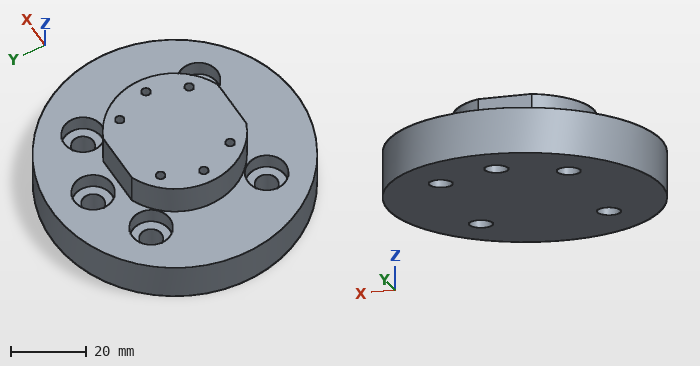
import cadquery as cq
import math

flange_diameter = 75.0
total_height = 22.5
boss_height = 10.0
flange_height = total_height - boss_height

boss_diameter = 38.0
boss_across_flats = 35.0

mount_circle_radius = 25.0
mount_angles = (45, 90, 135, 225, 315)
mount_hole_diameter = 6.4
counterbore_diameter = 11.5
counterbore_depth = 5.0

pin_circle_radius = 15.0
pin_angles = (0, 45, 135, 180, 225, 315)
pin_hole_diameter = 2.5
pin_hole_depth = boss_height


def polar_points(radius, angles):
    """Points on a circle about the Z axis, at the given angles in degrees."""
    return [
        (radius * math.cos(math.radians(angle)), radius * math.sin(math.radians(angle)))
        for angle in angles
    ]


def make_flange():
    return cq.Workplane("XY").circle(flange_diameter / 2).extrude(flange_height)


def make_boss():
    base = cq.Workplane("XY").workplane(offset=flange_height)
    cylinder = base.circle(boss_diameter / 2).extrude(boss_height)
    flats = base.rect(boss_diameter, boss_across_flats).extrude(boss_height)
    return cylinder.intersect(flats)


def drill(body, top, points, diameter, depth):
    """Cut round holes straight down from the height `top`."""
    cutter = (
        cq.Workplane("XY")
        .workplane(offset=top)
        .pushPoints(points)
        .circle(diameter / 2)
        .extrude(-depth)
    )
    return body.cut(cutter)


mount_points = polar_points(mount_circle_radius, mount_angles)
pin_points = polar_points(pin_circle_radius, pin_angles)

result = make_flange().union(make_boss())
result = drill(result, flange_height, mount_points, mount_hole_diameter, flange_height)
result = drill(result, flange_height, mount_points, counterbore_diameter, counterbore_depth)
result = drill(result, total_height, pin_points, pin_hole_diameter, pin_hole_depth)